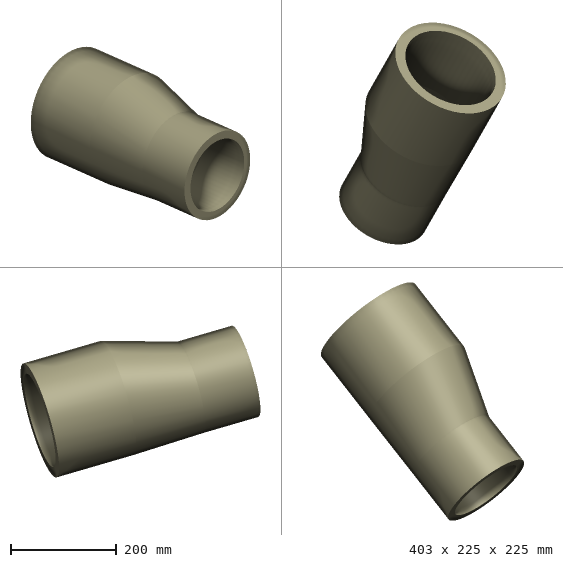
import cadquery as cq

large_outer_diameter = 225.0
large_bore_diameter = 184.0
small_outer_diameter = 180.0
small_bore_diameter = 147.2

total_length = 403.0
large_spigot_length = 154.5
small_spigot_length = 110.0
taper_end = total_length - small_spigot_length

axis_offset = -(large_outer_diameter - small_outer_diameter) / 2


def circle_at(x, y, diameter):
    """Circular section facing along X, centred at (x, y, 0)."""
    return cq.Wire.makeCircle(diameter / 2, cq.Vector(x, y, 0), cq.Vector(1, 0, 0))


def stepped_body(large_diameter, small_diameter):
    """Large cylinder, eccentric taper and small cylinder joined end to end."""
    large_start = circle_at(0, 0, large_diameter)
    taper_large_side = circle_at(large_spigot_length, 0, large_diameter)
    taper_small_side = circle_at(taper_end, axis_offset, small_diameter)
    small_end = circle_at(total_length, axis_offset, small_diameter)

    large_spigot = cq.Solid.makeLoft([large_start, taper_large_side], True)
    taper = cq.Solid.makeLoft([taper_large_side, taper_small_side], True)
    small_spigot = cq.Solid.makeLoft([taper_small_side, small_end], True)
    return cq.Workplane(large_spigot).union(cq.Workplane(taper)).union(cq.Workplane(small_spigot))


outer_body = stepped_body(large_outer_diameter, small_outer_diameter)
bore = stepped_body(large_bore_diameter, small_bore_diameter)

result = outer_body.cut(bore)